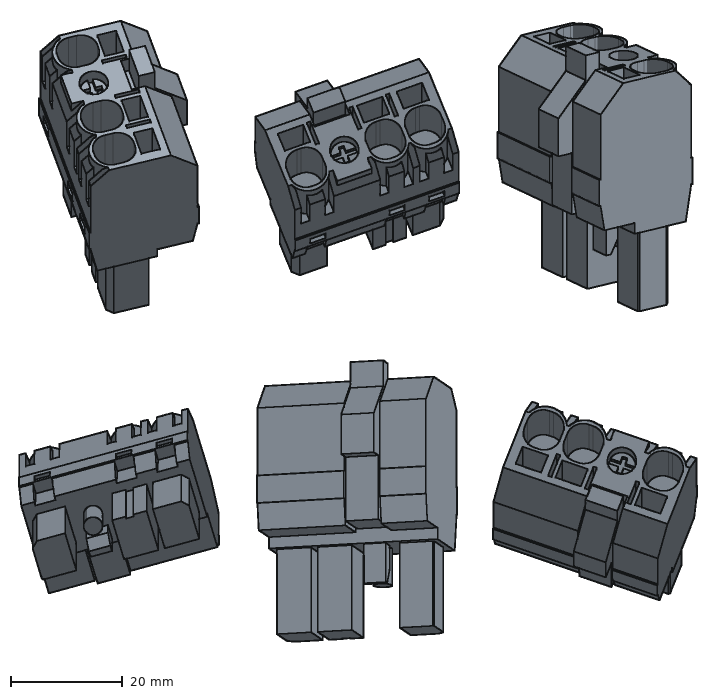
import cadquery as cq
import math

PITCH = 7.6
LATCH_X = -PITCH / 2
WIRE_XS = (-1.5 * PITCH, 0.5 * PITCH, 1.5 * PITCH)
FAR = 47.7

WIDTH = 31.4
HALF_DEPTH = 9.95
BAND_HALF_DEPTH = 10.25
TOP_Z = 44.6
BASE_Z = 15.45
STEP_Z = 17.5
STEP_Y = 2.5
BAND_TOP_Z = 27.3
BAND_BOTTOM_Z = 22.28
FRONT_CHAMFER = 3.45
REAR_CHAMFER = 4.95
BASE_DRAFT = math.tan(math.radians(10))

ENTRY_Y = -4.3
ENTRY_WIDTH = 6.75
ENTRY_LENGTH = 7.55
ENTRY_CORNER_RADIUS = 3.0
ENTRY_DEPTH = 11.92
COLLAR_Y = -4.9
COLLAR_DIAMETER = 7.9
COLLAR_POCKET_WIDTH = 6.3
COLLAR_POCKET_Z = 33.65
RIB_WIDTH = 2.95

OPENING_WIDTH = 4.85
OPENING_LENGTH = 3.55
OPENING_Y = 1.8
OPENING_DEPTH = 9.55
SLOT_XS = (-7.85, 0.25, 7.25)
SLOT_WIDTH = 0.65
SLOT_LENGTH = 4.5
SLOT_Y = 1.5
SLOT_DEPTH = 4.75

WINDOW_WIDTH = 2.95
WINDOW_HEIGHT = 2.1
WINDOW_Z = 24.45
WINDOW_DEPTH = 1.45
RECESS_TOP_WIDTH = 3.55
RECESS_BOTTOM_WIDTH = 3.75
RECESS_FLOOR_Y = -8.05

BLOCK_WIDTH = 6.65
BLOCK_FRONT_Y = -8.75

SCREW_Y = -3.6
HEAD_DIAMETER = 4.85
HEAD_HOLE_DIAMETER = 5.15
HEAD_TOP_Z = 42.45
HEAD_HEIGHT = 2.85
SHANK_DIAMETER = 3.4
SHANK_END_Z = 8.8
DRIVE_WIDTH = 0.95
DRIVE_CROSS_LENGTH = 3.2
DRIVE_DEPTH = 0.95

PLATE_WIDTH = 4.0
PLATE_REAR_Y = 1.7
PLATE_FRONT_Y = -0.95
PLATE_END_Z = 8.3
PLATE_BEVEL_HEIGHT = 2.75
PLATE_BEVEL_DEPTH = PLATE_BEVEL_HEIGHT * math.tan(math.radians(30))

LEG_WIDTH = 6.4
LEG_FRONT_Y = -6.45
LEG_REAR_Y = 1.25
FIRST_LEG_REAR_Y = 0.85
LEG_CHAMFER = 1.15
FIRST_LEG_REAR_CHAMFER = 0.25
LEG_GROOVE_WIDTH = 1.45
LEG_GROOVE_DEPTH = 0.4

LATCH_WIDTH = 6.1
NOTCH_WIDTH = 6.7
LATCH_TOP_Z = 47.7
LATCH_FOOT_Z = 18.13
LATCH_SHOULDER_Z = 41.5
TAB_FRONT_Y = 3.9
TAB_REAR_Y = 6.9
HOOK_Y = 12.95
HOOK_BOTTOM_Z = 29.75
HOOK_TOP_Z = 36.95


def box(x_mid, width, y_min, y_max, z_min, z_max):
    """Block centred on x_mid in X and given by its limits in Y and Z."""
    corner = cq.Vector(x_mid - width / 2, y_min, z_min)
    return cq.Workplane(cq.Solid.makeBox(width, y_max - y_min, z_max - z_min, corner))


def side_profile(points, x_mid, width):
    """Outline in Y and Z, extruded along X about x_mid."""
    plane = cq.Workplane("YZ", origin=(x_mid, 0, 0))
    return plane.polyline(points).close().extrude(width / 2, both=True)


def column(x, y, diameter, z_min, z_max):
    """Upright cylinder."""
    return cq.Workplane("XY", origin=(x, y, z_min)).circle(diameter / 2).extrude(z_max - z_min)


def wire_hole(x):
    """Blind hole of rounded rectangular outline."""
    half_length = ENTRY_LENGTH / 2
    y_min, y_max = ENTRY_Y - half_length, ENTRY_Y + half_length
    block = box(x, ENTRY_WIDTH, y_min, y_max, TOP_Z - ENTRY_DEPTH, TOP_Z)
    return block.edges("|Z").fillet(ENTRY_CORNER_RADIUS)


def make_shell():
    front_taper = (BAND_BOTTOM_Z - BASE_Z) * BASE_DRAFT
    rear_taper = (BAND_BOTTOM_Z - STEP_Z) * BASE_DRAFT
    outline = [
        (-HALF_DEPTH + front_taper, BASE_Z),
        (STEP_Y, BASE_Z),
        (STEP_Y, STEP_Z),
        (HALF_DEPTH - rear_taper, STEP_Z),
        (HALF_DEPTH, BAND_BOTTOM_Z),
        (HALF_DEPTH, TOP_Z - REAR_CHAMFER),
        (HALF_DEPTH - REAR_CHAMFER, TOP_Z),
        (-HALF_DEPTH + FRONT_CHAMFER, TOP_Z),
        (-HALF_DEPTH, TOP_Z - FRONT_CHAMFER),
        (-HALF_DEPTH, BAND_BOTTOM_Z),
    ]
    band = box(0, WIDTH, -BAND_HALF_DEPTH, BAND_HALF_DEPTH, BAND_BOTTOM_Z, BAND_TOP_Z)
    block_bottom_z = TOP_Z - FRONT_CHAMFER
    block = box(LATCH_X, BLOCK_WIDTH, BLOCK_FRONT_Y, 0, block_bottom_z, TOP_Z)
    return side_profile(outline, 0, WIDTH).union(band).union(block)


def add_wire_entry(shell, x):
    """Wire hole in a round collar, freed at the front by a pocket either side of a rib."""
    collar = column(x, COLLAR_Y, COLLAR_DIAMETER, COLLAR_POCKET_Z, TOP_Z)
    pocket = box(x, COLLAR_POCKET_WIDTH, -FAR, COLLAR_Y, COLLAR_POCKET_Z, TOP_Z)
    rib = box(x, RIB_WIDTH, -FAR, COLLAR_Y, COLLAR_POCKET_Z, TOP_Z)
    shell = shell.cut(pocket.cut(rib).cut(collar)).union(collar)
    return shell.cut(wire_hole(x))


def top_pocket(x, y, width, length, depth):
    return box(x, width, y - length / 2, y + length / 2, TOP_Z - depth, TOP_Z)


def front_window(x):
    floor_y = -BAND_HALF_DEPTH + WINDOW_DEPTH
    half_height = WINDOW_HEIGHT / 2
    return box(x, WINDOW_WIDTH, -FAR, floor_y, WINDOW_Z - half_height, WINDOW_Z + half_height)


def base_recess(x):
    """Upright-floored recess in the tapered front of the base, slightly wider at its foot."""
    outline = [
        (x - RECESS_BOTTOM_WIDTH / 2, BASE_Z),
        (x + RECESS_BOTTOM_WIDTH / 2, BASE_Z),
        (x + RECESS_TOP_WIDTH / 2, BAND_BOTTOM_Z),
        (x - RECESS_TOP_WIDTH / 2, BAND_BOTTOM_Z),
    ]
    plane = cq.Workplane("XZ", origin=(0, RECESS_FLOOR_Y, 0))
    return plane.polyline(outline).close().extrude(FAR)


def make_leg(x, rear_y):
    return box(x, LEG_WIDTH, LEG_FRONT_Y, rear_y, 0, BASE_Z)


def make_legs():
    first_x, middle_x, last_x = WIRE_XS
    first = make_leg(first_x, FIRST_LEG_REAR_Y)
    first = first.edges("|Z and <X and <Y").chamfer(LEG_CHAMFER)
    first = first.edges("|Z and <X and >Y").chamfer(FIRST_LEG_REAR_CHAMFER)
    groove_floor_y = LEG_FRONT_Y + LEG_GROOVE_DEPTH
    groove = box(middle_x, LEG_GROOVE_WIDTH, LEG_FRONT_Y, groove_floor_y, 0, BASE_Z)
    middle = make_leg(middle_x, LEG_REAR_Y).cut(groove)
    last = make_leg(last_x, LEG_REAR_Y).edges("|Z and >X and <Y").chamfer(LEG_CHAMFER)
    return first, middle, last


def make_guide_plate():
    outline = [
        (PLATE_REAR_Y, BASE_Z),
        (PLATE_REAR_Y, PLATE_END_Z),
        (PLATE_FRONT_Y + PLATE_BEVEL_DEPTH, PLATE_END_Z),
        (PLATE_FRONT_Y, PLATE_END_Z + PLATE_BEVEL_HEIGHT),
        (PLATE_FRONT_Y, BASE_Z),
    ]
    return side_profile(outline, LATCH_X, PLATE_WIDTH)


def make_housing():
    housing = make_shell()
    for x in WIRE_XS:
        housing = add_wire_entry(housing, x)
        housing = housing.cut(top_pocket(x, OPENING_Y, OPENING_WIDTH, OPENING_LENGTH, OPENING_DEPTH))
        housing = housing.cut(front_window(x)).cut(base_recess(x))
    for x in SLOT_XS:
        housing = housing.cut(top_pocket(x, SLOT_Y, SLOT_WIDTH, SLOT_LENGTH, SLOT_DEPTH))
    housing = housing.cut(box(LATCH_X, NOTCH_WIDTH, STEP_Y, FAR, 0, FAR))
    head_seat_z = HEAD_TOP_Z - HEAD_HEIGHT
    housing = housing.cut(column(LATCH_X, SCREW_Y, HEAD_HOLE_DIAMETER, head_seat_z, TOP_Z))
    housing = housing.cut(column(LATCH_X, SCREW_Y, SHANK_DIAMETER, 0, TOP_Z))
    for leg in make_legs():
        housing = housing.union(leg)
    return housing.union(make_guide_plate())


def make_screw():
    head = column(LATCH_X, SCREW_Y, HEAD_DIAMETER, HEAD_TOP_Z - HEAD_HEIGHT, HEAD_TOP_Z)
    shank = column(LATCH_X, SCREW_Y, SHANK_DIAMETER, SHANK_END_Z, HEAD_TOP_Z - HEAD_HEIGHT)
    drive = cq.Workplane("XY", origin=(LATCH_X, SCREW_Y, HEAD_TOP_Z))
    slot = drive.rect(HEAD_DIAMETER, DRIVE_WIDTH).extrude(-DRIVE_DEPTH)
    cross = drive.rect(DRIVE_WIDTH, DRIVE_CROSS_LENGTH).extrude(-DRIVE_DEPTH)
    return head.union(shank).cut(slot).cut(cross)


def make_latch():
    outline = [
        (STEP_Y, LATCH_FOOT_Z),
        (HALF_DEPTH, LATCH_FOOT_Z),
        (HALF_DEPTH, HOOK_BOTTOM_Z),
        (HOOK_Y, HOOK_BOTTOM_Z),
        (HOOK_Y, HOOK_TOP_Z),
        (TAB_REAR_Y, HOOK_TOP_Z + HOOK_Y - TAB_REAR_Y),
        (TAB_REAR_Y, LATCH_TOP_Z),
        (TAB_FRONT_Y, LATCH_TOP_Z),
        (TAB_FRONT_Y, LATCH_SHOULDER_Z),
        (STEP_Y, LATCH_SHOULDER_Z),
    ]
    return side_profile(outline, LATCH_X, LATCH_WIDTH)


housing = make_housing()
screw = make_screw()
latch = make_latch()

bodies = (housing, screw, latch)
result = cq.Compound.makeCompound([body.solids().val() for body in bodies])